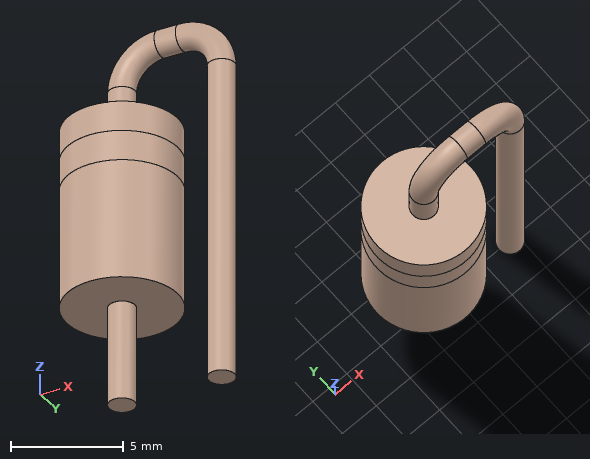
import cadquery as cq

body_diameter = 5.6
body_length = 9.05
band_length = body_length / 6
lead_diameter = 1.3
lead_pitch = 5.08
lower_lead_length = 4.99
upper_lead_length = 2.0
bend_radius = 2.0

body_bottom = lower_lead_length
body_top = body_bottom + body_length
band_top = body_top - band_length
band_bottom = band_top - band_length
bend_start = body_top + upper_lead_length
bridge_height = bend_start + bend_radius
bridge_length = lead_pitch - 2 * bend_radius


def vertical_cylinder(diameter, bottom, top, x=0):
    """Round bar along Z between two heights."""
    return cq.Workplane("XY", origin=(x, 0, bottom)).circle(diameter / 2).extrude(top - bottom)


def lead_bend(x, center_x):
    """Quarter bend rising from a vertical lead at x, turning about an axis along Y."""
    offset = center_x - x
    direction = 1 if offset > 0 else -1
    return (
        cq.Workplane("XY", origin=(x, 0, bend_start))
        .circle(lead_diameter / 2)
        .revolve(90, (offset, 0), (offset, direction))
    )


main_section = vertical_cylinder(body_diameter, body_bottom, band_bottom)
polarity_band = vertical_cylinder(body_diameter, band_bottom, band_top)
end_section = vertical_cylinder(body_diameter, band_top, body_top)

lower_lead = vertical_cylinder(lead_diameter, 0, body_bottom)
upper_lead = vertical_cylinder(lead_diameter, body_top, bend_start)
return_lead = vertical_cylinder(lead_diameter, 0, bend_start, lead_pitch)

near_bend = lead_bend(0, bend_radius)
far_bend = lead_bend(lead_pitch, lead_pitch - bend_radius)
bridge = (
    cq.Workplane("YZ", origin=(bend_radius, 0, bridge_height))
    .circle(lead_diameter / 2)
    .extrude(bridge_length)
)

result = cq.Compound.makeCompound([
    main_section.val(),
    polarity_band.val(),
    end_section.val(),
    lower_lead.val(),
    upper_lead.val(),
    near_bend.val(),
    bridge.val(),
    far_bend.val(),
    return_lead.val(),
])